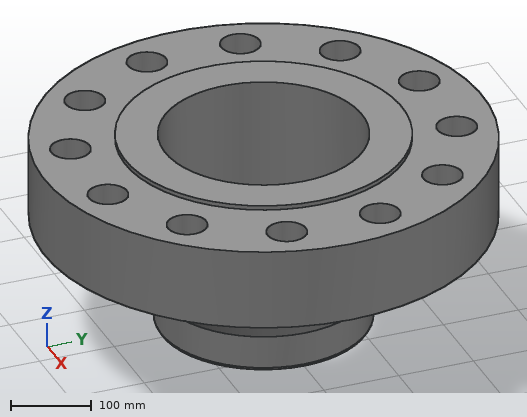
import cadquery as cq

flange_diameter = 584.0
flange_thickness = 107.5
raised_face_diameter = 369.0
raised_face_height = 6.0
total_height = 260.5
bore_diameter = 263.0

neck_diameter = 273.5
neck_height = 48.0
hub_top_diameter = 368.0

bevel_width = 2.5
bevel_height = 4.0

bolt_count = 12
bolt_hole_diameter = 51.0
bolt_circle_diameter = 482.5
bolt_spacing = 360 / bolt_count

flange_top = total_height - raised_face_height
flange_bottom = flange_top - flange_thickness


def flange_body():
    """Revolve the half section between the bore and the outside."""
    bore_radius = bore_diameter / 2
    neck_radius = neck_diameter / 2
    section = [
        (bore_radius, 0),
        (neck_radius - bevel_width, 0),
        (neck_radius, bevel_height),
        (neck_radius, neck_height),
        (hub_top_diameter / 2, flange_bottom),
        (flange_diameter / 2, flange_bottom),
        (flange_diameter / 2, flange_top),
        (raised_face_diameter / 2, flange_top),
        (raised_face_diameter / 2, total_height),
        (bore_radius, total_height),
    ]
    return cq.Workplane("XZ").polyline(section).close().revolve(360, (0, 0, 0), (0, 1, 0))


def bolt_holes():
    """Cylinders that cut through the flange around the bolt circle."""
    return (
        cq.Workplane("XY", origin=(0, 0, flange_bottom))
        .polarArray(bolt_circle_diameter / 2, bolt_spacing / 2, 360, bolt_count)
        .circle(bolt_hole_diameter / 2)
        .extrude(flange_thickness)
    )


result = flange_body().cut(bolt_holes())